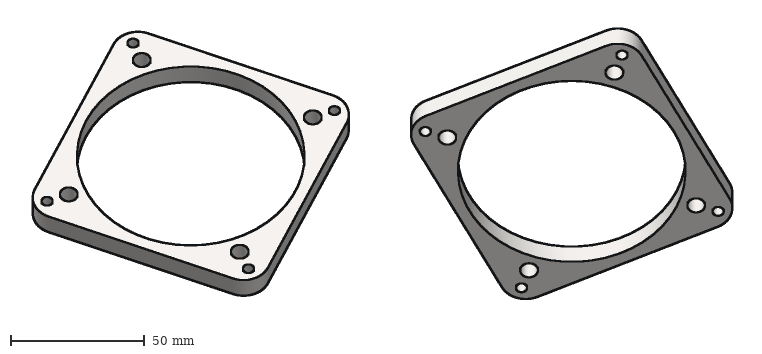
import cadquery as cq

side = 95.0
thickness = 9.5
corner_radius = 10.0
bore_diameter = 85.2

inner_hole_diameter = 6.65
inner_hole_spacing = 69.6
outer_hole_diameter = 4.2
outer_hole_spacing = 82.0


def drill_corners(body, spacing, diameter):
    """Drill four through holes at the corners of a centred square."""
    return (
        body.faces(">Z")
        .workplane(origin=(0, 0, 0))
        .rect(spacing, spacing, forConstruction=True)
        .vertices()
        .hole(diameter)
    )


frame = cq.Workplane("XY").box(side, side, thickness).edges("|Z").fillet(corner_radius)

frame = frame.faces(">Z").workplane().hole(bore_diameter)

frame = drill_corners(frame, inner_hole_spacing, inner_hole_diameter)
result = drill_corners(frame, outer_hole_spacing, outer_hole_diameter)